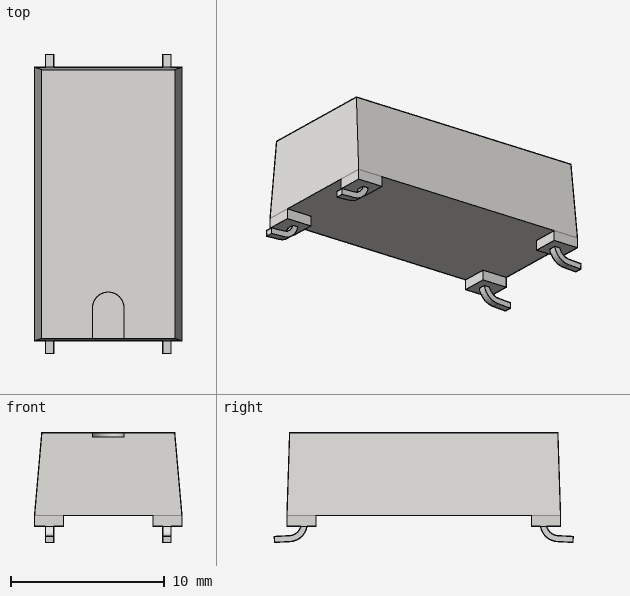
import cadquery as cq
import math

TOTAL_HEIGHT = 7.15
STANDOFF = 1.05
FOOT_HEIGHT = 0.7
BODY_BASE = STANDOFF + FOOT_HEIGHT
BODY_HEIGHT = TOTAL_HEIGHT - BODY_BASE

BASE_WIDTH = 9.6
BASE_LENGTH = 17.8
SIDE_TAPER = 0.475
END_TAPER = 0.175
TOP_WIDTH = BASE_WIDTH - 2 * SIDE_TAPER
TOP_LENGTH = BASE_LENGTH - 2 * END_TAPER

FOOT_SIDE = 1.9

NOTCH_WIDTH = 2.05
NOTCH_LENGTH = 3.0
NOTCH_DEPTH = 0.3

LEAD_SPAN = 19.45
LEAD_PITCH = 7.62
LEAD_WIDTH = 0.55
LEAD_THICKNESS = 0.4
LEAD_OUTER_RADIUS = 1.2
LEAD_INNER_RADIUS = LEAD_OUTER_RADIUS - LEAD_THICKNESS
LEAD_TOE_LENGTH = 1.0
LEAD_TOE_TILT = math.radians(3)


def make_body():
    return (
        cq.Workplane("XY")
        .workplane(offset=BODY_BASE)
        .rect(BASE_WIDTH, BASE_LENGTH)
        .workplane(offset=BODY_HEIGHT)
        .rect(TOP_WIDTH, TOP_LENGTH)
        .loft(ruled=True, combine=True)
    )


def make_feet():
    return (
        cq.Workplane("XY")
        .workplane(offset=STANDOFF)
        .rect(BASE_WIDTH - FOOT_SIDE, BASE_LENGTH - FOOT_SIDE, forConstruction=True)
        .vertices()
        .rect(FOOT_SIDE, FOOT_SIDE)
        .extrude(FOOT_HEIGHT)
    )


def make_notch():
    radius = NOTCH_WIDTH / 2
    open_end = -BASE_LENGTH / 2
    tip = -TOP_LENGTH / 2 + NOTCH_LENGTH
    return (
        cq.Workplane("XY")
        .workplane(offset=TOTAL_HEIGHT - NOTCH_DEPTH)
        .moveTo(-radius, open_end)
        .lineTo(radius, open_end)
        .lineTo(radius, tip - radius)
        .threePointArc((0, tip), (-radius, tip - radius))
        .close()
        .extrude(NOTCH_DEPTH)
    )


def make_lead():
    """Lead at the +Y end, centred on X = 0, with the toe's lower edge on Z = 0."""
    sin_tilt = math.sin(LEAD_TOE_TILT)
    cos_tilt = math.cos(LEAD_TOE_TILT)
    tip_top = (LEAD_SPAN / 2, LEAD_THICKNESS * cos_tilt)
    tip_bottom = (LEAD_SPAN / 2 - LEAD_THICKNESS * sin_tilt, 0)
    bend_y = tip_bottom[0] - LEAD_TOE_LENGTH * cos_tilt + LEAD_OUTER_RADIUS * sin_tilt
    bend_z = LEAD_TOE_LENGTH * sin_tilt + LEAD_OUTER_RADIUS * cos_tilt

    def on_bend(radius, angle):
        return (bend_y + radius * math.cos(angle), bend_z + radius * math.sin(angle))

    root = math.pi
    toe = 1.5 * math.pi - LEAD_TOE_TILT
    middle = (root + toe) / 2
    return (
        cq.Workplane("YZ")
        .moveTo(*tip_top)
        .lineTo(*tip_bottom)
        .lineTo(*on_bend(LEAD_OUTER_RADIUS, toe))
        .threePointArc(on_bend(LEAD_OUTER_RADIUS, middle), on_bend(LEAD_OUTER_RADIUS, root))
        .lineTo(*on_bend(LEAD_INNER_RADIUS, root))
        .threePointArc(on_bend(LEAD_INNER_RADIUS, middle), on_bend(LEAD_INNER_RADIUS, toe))
        .close()
        .extrude(LEAD_WIDTH / 2, both=True)
    )


result = make_body().cut(make_notch()).union(make_feet())

lead = make_lead()
for end_lead in (lead, lead.mirror("XZ")):
    for side in (-1, 1):
        result = result.union(end_lead.translate((side * LEAD_PITCH / 2, 0, 0)))